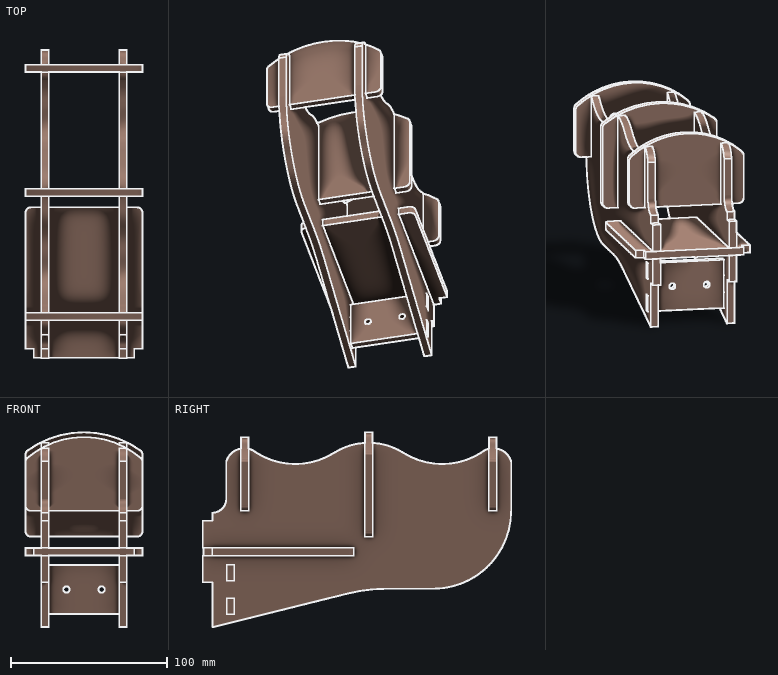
import cadquery as cq
import math


sheet = 5.0
width = 75.0
length = 197.5
height = 124.8

side_x = 27.5
step_y = 6.1
front_wall_y = 15.0
tab_z = (28.6, 68.1)
ledge_z = 73.2
ledge_radius = 8.9
middle_y = (front_wall_y + length) / 2

wall_top_z = 106.0
end_hump_radius = 12.0
crest_z = 118.0
dip_z = 104.5
dip_offset = 47.0
crest_reach = 22.1
dip_reach = dip_offset - crest_reach
turn_z = crest_z - (crest_z - dip_z) * crest_reach / dip_offset

belly_z = 24.5
belly_radius = 50.0
slope_angle = math.radians(14)
slope_radius = 100.0
toe_radius = 0.5

divider_pitch = 79.4
middle_divider_z = (57.8, height)
end_divider_z = (74.5, 121.6)
middle_crown_radius = 61.5
end_crown_radius = 55.9
corner_radius = 3.5

divider_specs = [
    (middle_y - divider_pitch, end_divider_z, end_crown_radius),
    (middle_y, middle_divider_z, middle_crown_radius),
    (middle_y + divider_pitch, end_divider_z, end_crown_radius),
]

shelf_z = 45.8
shelf_front_y = 0.4
shelf_rear_y = 96.7
shelf_nose_width = 64.4

plate_y = 15.4
plate_z = (8.3, 39.9)
plate_tab_height = 10.3
hole_diameter = 4.0
hole_spacing = 22.5


def box(x_range, y_range, z_range):
    """Box that spans the given ranges."""
    corner = (x_range[0], y_range[0], z_range[0])
    size = [r[1] - r[0] for r in (x_range, y_range, z_range)]
    return cq.Workplane("XY").box(*size, centered=False).translate(corner)


def make_divider(center_y, z_range, crown_radius):
    """Upright plate with an arched top and four rounded corners."""
    bottom, top = z_range
    half = width / 2
    shoulder = top - crown_radius + math.sqrt(crown_radius**2 - half**2)
    return (
        cq.Workplane("XZ", origin=(0, center_y + sheet / 2, 0))
        .moveTo(-half, bottom)
        .lineTo(half, bottom)
        .lineTo(half, shoulder)
        .threePointArc((0, top), (-half, shoulder))
        .close()
        .extrude(sheet)
        .edges("|Y")
        .fillet(corner_radius)
    )


def make_shelf():
    """Flat shelf with a narrower nose and rounded rear corners."""
    z_range = (shelf_z, shelf_z + sheet)
    board = box((-width / 2, width / 2), (step_y, shelf_rear_y), z_range)
    board = board.edges("|Z and >Y").fillet(corner_radius)
    nose = box((-shelf_nose_width / 2, shelf_nose_width / 2), (shelf_front_y, step_y), z_range)
    return board.union(nose)


def make_screw_plate():
    """Upright plate between the sides, with two tabs per side and two screw holes."""
    bottom, top = plate_z
    inner_x = side_x - sheet
    y_range = (plate_y, plate_y + sheet)
    plate = box((-inner_x, inner_x), y_range, plate_z)
    for tab_bottom in (bottom, top - plate_tab_height):
        plate = plate.union(box((-side_x, side_x), y_range, (tab_bottom, tab_bottom + plate_tab_height)))
    holes = (
        cq.Workplane("XZ", origin=(0, plate_y + sheet, (bottom + top) / 2))
        .pushPoints([(-hole_spacing / 2, 0), (hole_spacing / 2, 0)])
        .circle(hole_diameter / 2)
        .extrude(sheet)
    )
    return plate.cut(holes)


def make_side_blank(inner_x):
    """Side panel before slotting, extruded from inner_x towards +X."""
    tab_bottom, tab_top = tab_z
    toe_end_y = step_y + toe_radius * (1 + math.sin(slope_angle))
    toe_end_z = toe_radius * (1 - math.cos(slope_angle))
    slope_start_y = toe_end_y + (belly_z - toe_end_z) / math.tan(slope_angle)
    slope_setback = slope_radius * math.tan(slope_angle / 2)
    slope_tangent = (
        slope_start_y - slope_setback * math.cos(slope_angle),
        belly_z - slope_setback * math.sin(slope_angle),
    )
    front_dip_y = middle_y - dip_offset
    rear_dip_y = middle_y + dip_offset
    return (
        cq.Workplane("YZ", origin=(inner_x, 0, 0))
        .moveTo(step_y, toe_radius)
        .lineTo(step_y, tab_bottom)
        .lineTo(0, tab_bottom)
        .lineTo(0, tab_top)
        .lineTo(step_y, tab_top)
        .lineTo(step_y, ledge_z)
        .radiusArc((front_wall_y, ledge_z + ledge_radius), -ledge_radius)
        .lineTo(front_wall_y, wall_top_z)
        .radiusArc((front_dip_y - dip_reach, turn_z), end_hump_radius)
        .threePointArc((front_dip_y, dip_z), (front_dip_y + dip_reach, turn_z))
        .threePointArc((middle_y, crest_z), (rear_dip_y - dip_reach, turn_z))
        .threePointArc((rear_dip_y, dip_z), (rear_dip_y + dip_reach, turn_z))
        .radiusArc((length, wall_top_z), end_hump_radius)
        .lineTo(length, belly_z + belly_radius)
        .radiusArc((length - belly_radius, belly_z), belly_radius)
        .lineTo(slope_start_y + slope_setback, belly_z)
        .radiusArc(slope_tangent, -slope_radius)
        .lineTo(toe_end_y, toe_end_z)
        .radiusArc((step_y, toe_radius), toe_radius)
        .close()
        .extrude(sheet)
    )


def make_divider_slot(center_y, z_range):
    """Space that a divider takes up in the side panels."""
    y_range = (center_y - sheet / 2, center_y + sheet / 2)
    return box((-width / 2, width / 2), y_range, z_range)


def make_side(inner_x, screw_plate):
    """Side panel with slots for the dividers, the shelf and the tabs of the screw plate."""
    side = make_side_blank(inner_x)
    for center_y, z_range, _ in divider_specs:
        side = side.cut(make_divider_slot(center_y, z_range))
    shelf_slot = box((-width / 2, width / 2), (0, shelf_rear_y), (shelf_z, shelf_z + sheet))
    return side.cut(shelf_slot).cut(screw_plate)


dividers = [make_divider(*spec) for spec in divider_specs]
shelf = make_shelf()
screw_plate = make_screw_plate()
sides = [make_side(inner_x, screw_plate) for inner_x in (-side_x, side_x - sheet)]

result = cq.Compound.makeCompound(
    [body.val() for body in (*sides, *dividers, shelf, screw_plate)]
)